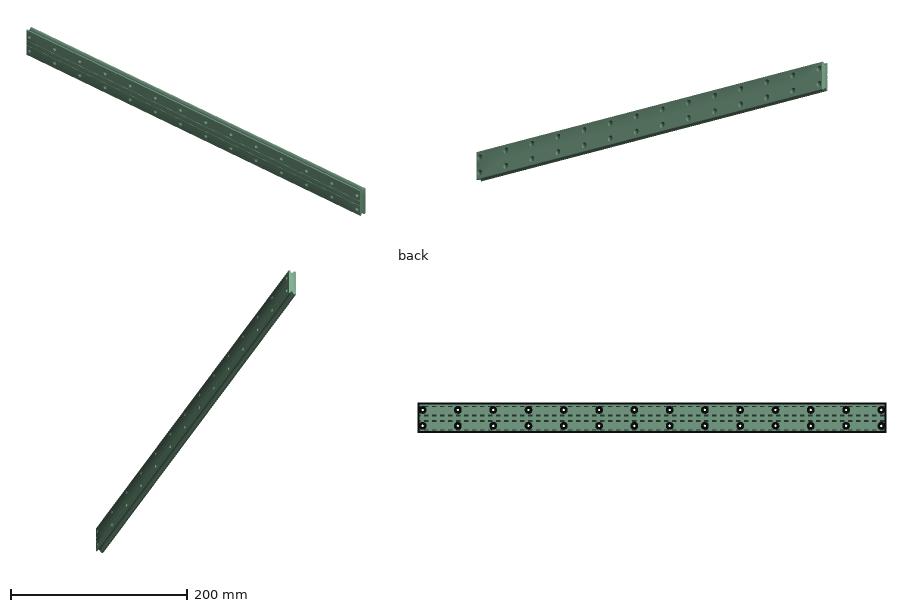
import cadquery as cq
import math

length = 530.0
thickness = 9.0
height = 33.0
corner_chamfer = 0.5

guide_depth = 3.0
guide_root_width = 1.0
guide_root_center = -0.8
guide_wall_angle = 60.0
guide_mouth_chamfer = 1.5

face_groove_offset = 3.0
face_groove_width = 1.0
face_groove_depth = 0.5

hole_diameter = 5.0
counterbore_diameter = 7.0
counterbore_depth = 5.5
hole_row_offset = 9.0
holes_per_row = 14
hole_end_margin = 5.0
hole_pitch = (length - 2 * hole_end_margin) / (holes_per_row - 1)


def guide_groove(side):
    """Guide groove cutter in the top (side = 1) or bottom (side = -1) edge."""
    run_per_depth = 1 / math.tan(math.radians(guide_wall_angle))
    root_back = guide_root_center + guide_root_width / 2
    root_front = guide_root_center - guide_root_width / 2
    mouth_start = root_back + (guide_depth - guide_mouth_chamfer) * run_per_depth
    rim_back = mouth_start + guide_mouth_chamfer
    rim_front = root_front - guide_depth * run_per_depth

    rim_z = side * height / 2
    root_z = side * (height / 2 - guide_depth)
    mouth_z = side * (height / 2 - guide_mouth_chamfer)
    outline = [
        (rim_back, rim_z),
        (mouth_start, mouth_z),
        (root_back, root_z),
        (root_front, root_z),
        (rim_front, rim_z),
    ]
    return cq.Workplane("YZ").polyline(outline).close().extrude(length / 2, both=True)


def face_groove(side):
    """Square groove cutter on the front face, above (side = 1) or below the middle."""
    groove = cq.Workplane("XY").box(length, 2 * face_groove_depth, face_groove_width)
    return groove.translate((0, -thickness / 2, side * face_groove_offset))


bar = cq.Workplane("XY").box(length, thickness, height).edges("|X").chamfer(corner_chamfer)
for side in (-1, 1):
    bar = bar.cut(guide_groove(side)).cut(face_groove(side))

result = (
    bar.faces(">Y")
    .workplane(origin=(0, thickness / 2, 0))
    .rarray(hole_pitch, 2 * hole_row_offset, holes_per_row, 2)
    .cboreHole(hole_diameter, counterbore_diameter, counterbore_depth)
)